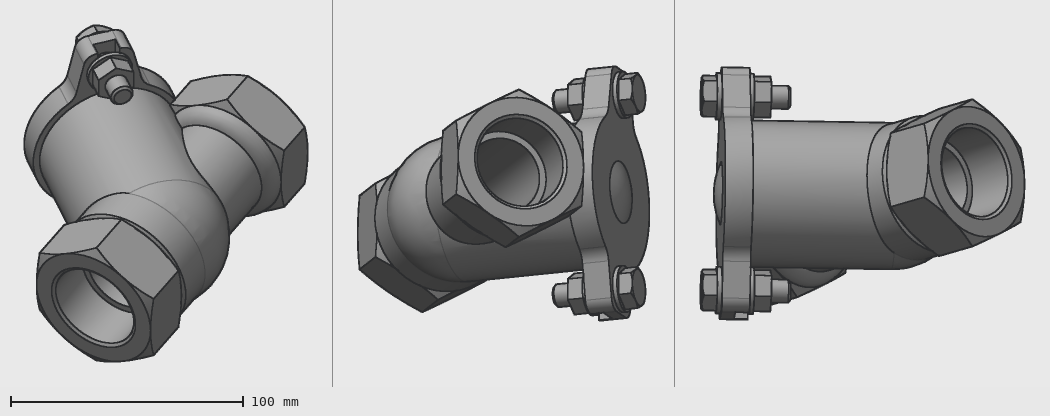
import cadquery as cq
import math


run_length = 132
hex_flats = 57.0
inlet_hex_length = 26.0
outlet_hex_length = 22.5
hex_chamfer_slope = math.tan(math.radians(30))
collar_diameter = 60.0
collar_chamfer_length = 1.0
shoulder_round = 7.5
neck_diameter = 46.2
bore_diameter = 33
socket_diameter = 39.1
socket_depth = 23.2
socket_mouth_diameter = 42.0
socket_mouth_depth = 1.0

branch_angle = math.radians(40)
branch_diameter = 63.1
elbow_y = -13.3
cover_distance = 73.8

flange_thickness = 12.0
flange_diameter = 68.9
lug_tip = 54.5
lug_tip_width = 20.6
lug_taper = 0.225
lug_tip_round = 6.0
lug_root_round = 8.7
dome_diameter = 26.9
dome_height = 3.0

bolt_offset = 43.3
bolt_diameter = 10.0
bolt_tip_chamfer = 1.0
bolt_tip_length = 8.6
bolt_flats = 16.0
head_height = 6.3
nut_height = 7.4
washer_diameter = 20.0
washer_thickness = 2.0

run_end = run_length / 2
inlet_hex_top = -run_end + inlet_hex_length
outlet_hex_bottom = run_end - outlet_hex_length
body_face = cover_distance - flange_thickness
branch_direction = cq.Vector(-math.cos(branch_angle), math.sin(branch_angle), 0)
branch_across = cq.Vector(-math.sin(branch_angle), -math.cos(branch_angle), 0)


def run_plane(y):
    """Plane across the run at y, facing +Y, with its local x along Z."""
    return cq.Workplane(cq.Plane(origin=(0, y, 0), xDir=(0, 0, 1), normal=(0, 1, 0)))


def branch_plane(distance):
    """Plane across the branch, facing its cover, with its local y along Z."""
    origin = cq.Vector(0, elbow_y, 0) + branch_direction * distance
    return cq.Workplane(cq.Plane(origin=origin, xDir=branch_across, normal=branch_direction))


def end_face(body, direction, far_end):
    """Face of a body that lies furthest along a direction, or furthest back."""
    return body.faces(cq.selectors.DirectionMinMaxSelector(direction, far_end))


def corner_radius(flats):
    return flats / 2 / math.cos(math.radians(30))


def plain_hexagon(base, flats, length):
    """Hexagonal prism with a corner on the local x of its base."""
    return base.polygon(6, 2 * corner_radius(flats)).extrude(length)


def chamfered_hexagon(base, flats, length, both_ends):
    """Hexagonal prism with its far end, or both ends, chamfered down to the inscribed circle."""
    step = corner_radius(flats) - flats / 2
    rise = step * hex_chamfer_slope
    axis = base.plane.zDir
    blank = base.circle(corner_radius(flats)).extrude(length)
    rims = end_face(blank, axis, True).edges().vals()
    if both_ends:
        rims += end_face(blank, axis, False).edges().vals()
    turned_blank = cq.Workplane(blank.val().chamfer(rise, step, rims))
    return plain_hexagon(base, flats, length).intersect(turned_blank)


def make_shoulder():
    """Quarter-round shoulder that brings the outlet hexagon down towards the neck."""
    outer = hex_flats / 2
    inner = outer - shoulder_round
    bottom = outlet_hex_bottom - shoulder_round
    diagonal = shoulder_round * math.sqrt(0.5)
    profile = cq.Workplane("XY").moveTo(0, bottom).lineTo(inner, bottom)
    arc_middle = (inner + diagonal, outlet_hex_bottom - diagonal)
    profile = profile.threePointArc(arc_middle, (outer, outlet_hex_bottom))
    return profile.lineTo(0, outlet_hex_bottom).close().revolve(360, (0, 0), (0, 1))


def make_run():
    """Hexagon ends, collar, elbow ball, neck and shoulder as solid bodies."""
    inlet_hex = chamfered_hexagon(run_plane(-run_end), hex_flats, inlet_hex_length, True)
    outlet_hex = chamfered_hexagon(run_plane(outlet_hex_bottom), hex_flats, outlet_hex_length, True)
    collar = run_plane(inlet_hex_top).circle(collar_diameter / 2).extrude(elbow_y - inlet_hex_top)
    collar_rim = collar.faces("<Y").edges().vals()
    collar_step = (collar_diameter - hex_flats) / 2
    collar = cq.Workplane(collar.val().chamfer(collar_chamfer_length, collar_step, collar_rim))
    elbow = cq.Workplane("XY").sphere(branch_diameter / 2).translate((0, elbow_y, 0))
    neck = run_plane(elbow_y).circle(neck_diameter / 2).extrude(outlet_hex_bottom - elbow_y)
    shoulder = make_shoulder()
    return inlet_hex.union(collar).union(elbow).union(neck).union(shoulder).union(outlet_hex)


def make_branch():
    return branch_plane(0).circle(branch_diameter / 2).extrude(body_face)


def make_lug():
    """Tapered lug on the +Z side, from the branch axis to its rounded tip."""
    tip_half = lug_tip_width / 2
    root_half = tip_half + lug_taper * lug_tip
    outline = [(-root_half, 0), (root_half, 0), (tip_half, lug_tip), (-tip_half, lug_tip)]
    lug = branch_plane(body_face).polyline(outline).close().extrude(flange_thickness)
    tip_corners = lug.faces(">Z").edges(cq.selectors.ParallelDirSelector(branch_direction))
    return tip_corners.fillet(lug_tip_round)


def lug_slot():
    """Round-bottomed bolt slot, open at the lug tip, in the body half of the flange."""
    depth = flange_thickness / 2
    length = lug_tip - bolt_offset
    base = branch_plane(body_face).center(0, bolt_offset)
    round_bottom = base.circle(bolt_diameter / 2).extrude(depth)
    return round_bottom.union(base.center(0, length / 2).rect(bolt_diameter, length).extrude(depth))


def cover_dome():
    """Shallow spherical cap in the middle of the cover."""
    edge = dome_diameter / 2
    radius = (edge**2 + dome_height**2) / (2 * dome_height)
    half_angle = math.asin(edge / radius) / 2
    middle = (radius * math.sin(half_angle), dome_height - radius * (1 - math.cos(half_angle)))
    base = branch_plane(cover_distance).plane
    axial_plane = cq.Plane(base.origin, base.yDir, base.xDir)
    profile = cq.Workplane(axial_plane).lineTo(edge, 0).threePointArc(middle, (0, dome_height))
    return profile.close().revolve(360, (0, 0), (0, 1))


def make_flange():
    """Disc with two blended lugs, slotted for the bolts and domed in the middle."""
    disc = branch_plane(body_face).circle(flange_diameter / 2).extrude(flange_thickness)
    lug = make_lug()
    flange = disc.union(lug).union(lug.mirror("XY"))
    disc_radius = flange_diameter / 2
    through_edges = flange.edges(cq.selectors.ParallelDirSelector(branch_direction)).vals()
    roots = [edge for edge in through_edges if disc_radius / 2 < abs(edge.Center().z) < disc_radius]
    flange = cq.Workplane(flange.val().fillet(lug_root_round, roots))
    slot = lug_slot()
    return flange.cut(slot).cut(slot.mirror("XY")).union(cover_dome())


def make_bolt():
    """Bolt, nut and two washers on the +Z lug."""
    nut_face = body_face - washer_thickness
    tip = nut_face - nut_height - bolt_tip_length
    head_face = cover_distance + washer_thickness

    def station(distance):
        return branch_plane(distance).center(0, bolt_offset)

    def corner_up_station(distance):
        return station(distance).transformed(rotate=(0, 0, 90))

    shank = station(tip).circle(bolt_diameter / 2).extrude(head_face - tip)
    shank = end_face(shank, branch_direction, False).chamfer(bolt_tip_chamfer)
    head = chamfered_hexagon(corner_up_station(head_face), bolt_flats, head_height, False)
    nut = plain_hexagon(corner_up_station(nut_face - nut_height), bolt_flats, nut_height)
    bolt = shank.union(head).union(nut)
    for washer_start in (nut_face, cover_distance):
        bolt = bolt.union(station(washer_start).circle(washer_diameter / 2).extrude(washer_thickness))
    return bolt


def run_passage():
    """Bore through the run with a chamfered pipe socket at each end."""
    passage = run_plane(-run_end).circle(bore_diameter / 2).extrude(run_length)
    socket = run_plane(-run_end).circle(socket_diameter / 2).extrude(socket_depth)
    mouth = run_plane(-run_end).circle(socket_mouth_diameter / 2)
    mouth = mouth.workplane(offset=socket_mouth_depth).circle(socket_diameter / 2).loft()
    socket = socket.union(mouth)
    return passage.union(socket).union(socket.mirror("XZ"))


bolt = make_bolt()
body = make_run().union(make_branch()).union(make_flange()).cut(run_passage())
result = body.union(bolt).union(bolt.mirror("XY"))